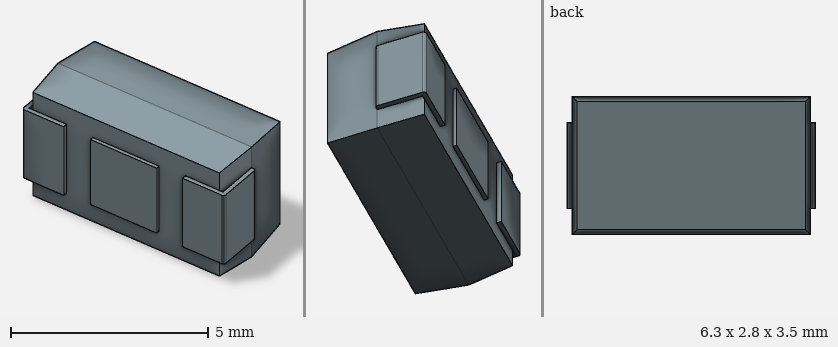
import cadquery as cq

total_length = 6.3
total_depth = 2.8

body_length = 6.04
body_height = 3.5
draft_angle = 5.0
parting_depth = 1.38

lead_thickness = (total_length - body_length) / 2
lead_width = 2.18
lead_foot_length = 1.3
lead_bend_radius = 0.075

pad_side = 2.065
pad_thickness = 0.11

body_front = lead_thickness
body_back = total_depth


def make_body_half(depth):
    """Tapered block from the parting plane; positive depth runs to -Y, negative to +Y."""
    return (
        cq.Workplane("XZ", origin=(0, parting_depth, 0))
        .rect(body_length, body_height)
        .extrude(depth, taper=draft_angle)
    )


def make_body():
    """One block, widest at the parting plane and narrowing to its front and back faces."""
    front_half = make_body_half(parting_depth - body_front)
    back_half = make_body_half(parting_depth - body_back)
    return front_half.union(back_half)


def make_lead(side):
    """L-shaped strip at one end; side is -1 for the -X end and +1 for the +X end."""
    outer = side * total_length / 2
    inner = side * body_length / 2
    foot_end = outer - side * lead_foot_length
    outer_edges = ">X" if side > 0 else "<X"
    return (
        cq.Workplane("XY", origin=(0, 0, -lead_width / 2))
        .moveTo(foot_end, 0)
        .lineTo(outer, 0)
        .lineTo(outer, parting_depth)
        .lineTo(inner, parting_depth)
        .lineTo(inner, lead_thickness)
        .lineTo(foot_end, lead_thickness)
        .close()
        .extrude(lead_width)
        .edges("|Z")
        .edges(outer_edges)
        .fillet(lead_bend_radius)
    )


def make_pad():
    """Thin square plate on the front face of the body."""
    return (
        cq.Workplane("XZ", origin=(0, body_front, 0))
        .rect(pad_side, pad_side)
        .extrude(pad_thickness)
    )


body = make_body()
leads = [make_lead(side) for side in (-1, 1)]
pad = make_pad()

result = cq.Compound.makeCompound([body.val(), *[lead.val() for lead in leads], pad.val()])